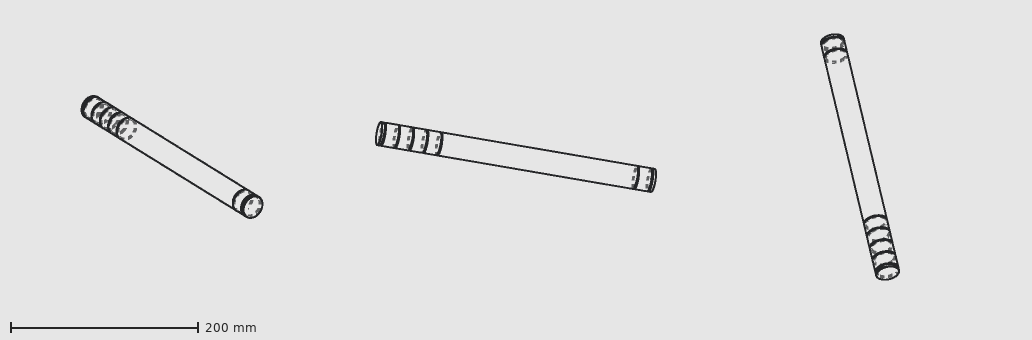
import cadquery as cq

SHAFT_LENGTH = 304.8
SHAFT_DIAMETER = 25.4
END_CHAMFER = 0.508

GROOVE_WIDTH = 1.4224
GROOVE_DEPTH = 2.0
GROOVE_PITCH = 15.7
END_LAND = 3.175
LEFT_GROOVE_COUNT = 5
RIGHT_GROOVE_COUNT = 2

SHAFT_RADIUS = SHAFT_DIAMETER / 2
LEFT_END = -SHAFT_LENGTH / 2
RIGHT_END = SHAFT_LENGTH / 2


def make_shaft():
    """Plain bar with both end edges chamfered."""
    bar = cq.Workplane("YZ", origin=(LEFT_END, 0, 0)).circle(SHAFT_RADIUS).extrude(SHAFT_LENGTH)
    return bar.faces("<X or >X").chamfer(END_CHAMFER)


def groove_ring(start_x):
    """Ring of material removed by one groove whose left wall is at start_x."""
    return (
        cq.Workplane("YZ", origin=(start_x, 0, 0))
        .circle(SHAFT_RADIUS)
        .circle(SHAFT_RADIUS - GROOVE_DEPTH)
        .extrude(GROOVE_WIDTH)
    )


def groove_starts():
    """Left-wall positions of all grooves, counted inward from each end."""
    first_left = LEFT_END + END_LAND
    first_right = RIGHT_END - END_LAND - GROOVE_WIDTH
    left = [first_left + i * GROOVE_PITCH for i in range(LEFT_GROOVE_COUNT)]
    right = [first_right - i * GROOVE_PITCH for i in range(RIGHT_GROOVE_COUNT)]
    return left + right


result = make_shaft()
for groove_x in groove_starts():
    result = result.cut(groove_ring(groove_x))